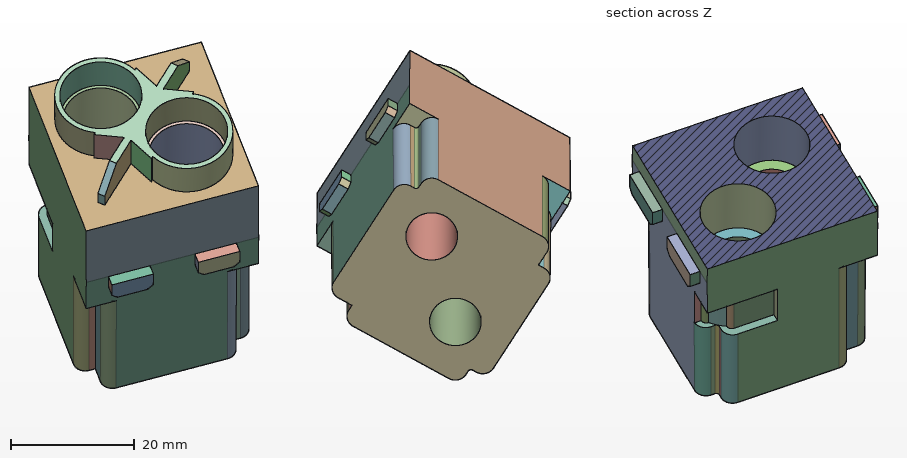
import cadquery as cq
import math

total_height = 52.2
body_top = 45.75
parting_height = 31.65
plug_top = 24.3

body_depth = 29.3
parting_half_width = 15.15
top_half_width = 15.05
bottom_half_width = 15.0

bore_spacing = 11.0
bore_offset = bore_spacing / 2
tube_radius = 7.45
mouth_radius = 6.65
chamber_radius = 6.1
chamber_floor = plug_top
bore_radius = 4.2

fin_thickness = 1.25
fin_tip_reach = 15.05
fin_bend_reach = 10.9
fin_tip_height = 48.2
web_root_reach = 5.75
web_spread = 5.2
web_shoulder_reach = 7.45

width_over_tabs = 33.75
tab_reach = width_over_tabs / 2
tab_height = 3.8
tab_chamfer = 0.95
tab_spacing = 14.65
left_tab_width = 9.0
right_tab_width = 7.05

corner_fillet = 2.05
notch_inner_fillet = 0.5
square_notch = 3.25
long_notch_width = 3.1
long_notch_length = 4.65

recess_floor = 16.7
recess_wall_x = -13.9
recess_wall_y = -13.25
recess_end_x = -2.65
recess_end_y = -9.55
recess_bend_x = -9.75
recess_corner_radius = 0.9
recess_wall_radius = 8.75
clearance = 0.5

half_depth = body_depth / 2
bores = [(-bore_offset, -bore_offset), (bore_offset, bore_offset)]


def make_block():
    """Block with slightly drafted X faces."""
    return (
        cq.Workplane("XZ")
        .moveTo(-bottom_half_width, 0)
        .lineTo(bottom_half_width, 0)
        .lineTo(parting_half_width, parting_height)
        .lineTo(top_half_width, body_top)
        .lineTo(-top_half_width, body_top)
        .lineTo(-parting_half_width, parting_height)
        .close()
        .extrude(half_depth, both=True)
    )


def edges_at(x, y, height):
    """Selector for the upright edges near (x, y), with their middle at half the height."""
    reach = 0.25
    return cq.selectors.BoxSelector(
        (x - reach, y - reach, height / 2 - reach),
        (x + reach, y + reach, height / 2 + reach),
    )


def notch_corner(body, side_x, side_y, size_x, size_y, height, inner_fillet=0):
    """Cut one corner away below the given height and round its upright edges."""
    corner_x = side_x * bottom_half_width
    corner_y = side_y * half_depth
    inner_x = corner_x - side_x * size_x
    inner_y = corner_y - side_y * size_y
    tool = (
        cq.Workplane("XY")
        .center(corner_x, corner_y)
        .rect(2 * size_x, 2 * size_y)
        .extrude(height)
    )
    body = body.cut(tool)
    for x, y in [(inner_x, corner_y), (corner_x, inner_y)]:
        body = body.edges(edges_at(x, y, height)).fillet(corner_fillet)
    if inner_fillet:
        body = body.edges(edges_at(inner_x, inner_y, height)).fillet(inner_fillet)
    return body


def make_recess():
    """Tool for the recess that exposes the barrel wall above the (-X, -Y) corner."""
    r = recess_corner_radius
    bulge = r * math.sqrt(0.5)
    outer_x = -parting_half_width - clearance
    outer_y = -half_depth - clearance
    return (
        cq.Workplane("XY", origin=(0, 0, recess_floor))
        .moveTo(outer_x, outer_y)
        .lineTo(outer_x, recess_end_y)
        .lineTo(recess_wall_x, recess_end_y)
        .threePointArc(
            (recess_wall_x + r - bulge, recess_end_y - bulge),
            (recess_wall_x + r, recess_end_y - r),
        )
        .radiusArc((recess_bend_x - r, recess_wall_y + r), -recess_wall_radius)
        .threePointArc(
            (recess_bend_x - bulge, recess_wall_y + r - bulge),
            (recess_bend_x, recess_wall_y),
        )
        .lineTo(recess_end_x, recess_wall_y)
        .lineTo(recess_end_x, outer_y)
        .close()
        .extrude(plug_top - recess_floor)
    )


def make_tab(side, y, width):
    """Side tab with its two lower corners chamfered, starting inside the block."""
    return (
        cq.Workplane("XY")
        .box(tab_reach, width, tab_height, centered=(True, True, False))
        .edges("|X and <Z")
        .chamfer(tab_chamfer)
        .translate((side * tab_reach / 2, y, parting_height - tab_height))
    )


def make_tubes_and_web():
    """Two tubes, the web between them and the two fins on the other diagonal."""
    tubes = (
        cq.Workplane("XY", origin=(0, 0, body_top))
        .pushPoints(bores)
        .circle(tube_radius)
        .extrude(total_height - body_top)
    )
    half_fin = fin_thickness / 2
    web = (
        cq.Workplane("XY", origin=(0, 0, body_top))
        .polyline([
            (-web_spread, -web_shoulder_reach),
            (-half_fin, -web_root_reach),
            (half_fin, -web_root_reach),
            (web_spread, -web_shoulder_reach),
            (web_spread, web_shoulder_reach),
            (half_fin, web_root_reach),
            (-half_fin, web_root_reach),
            (-web_spread, web_shoulder_reach),
        ])
        .close()
        .extrude(total_height - body_top)
    )
    fins = (
        cq.Workplane("YZ")
        .polyline([
            (-fin_tip_reach, body_top),
            (fin_tip_reach, body_top),
            (fin_tip_reach, fin_tip_height),
            (fin_bend_reach, total_height),
            (-fin_bend_reach, total_height),
            (-fin_tip_reach, fin_tip_height),
        ])
        .close()
        .extrude(half_fin, both=True)
    )
    return tubes.union(web.union(fins).rotate((0, 0, 0), (0, 0, 1), 45))


def cut_bore(body, x, y):
    """Stepped bore: wide mouth in the tube, chamber in the block, hole through the bottom."""
    steps = [(mouth_radius, body_top), (chamber_radius, chamber_floor), (bore_radius, 0)]
    for radius, floor in steps:
        height = total_height - floor
        step = cq.Workplane("XY", origin=(x, y, floor)).circle(radius).extrude(height)
        body = body.cut(step)
    return body


body = make_block()

body = notch_corner(body, -1, -1, square_notch, square_notch, recess_floor, notch_inner_fillet)
body = notch_corner(body, 1, 1, square_notch, square_notch, plug_top, notch_inner_fillet)
body = notch_corner(body, -1, 1, long_notch_width, long_notch_length, plug_top)
body = notch_corner(body, 1, -1, long_notch_length, long_notch_width, plug_top)
body = body.cut(make_recess())

for y in (-tab_spacing / 2, tab_spacing / 2):
    body = body.union(make_tab(-1, y, left_tab_width))
    body = body.union(make_tab(1, y, right_tab_width))

body = body.union(make_tubes_and_web())
for x, y in bores:
    body = cut_bore(body, x, y)

result = body